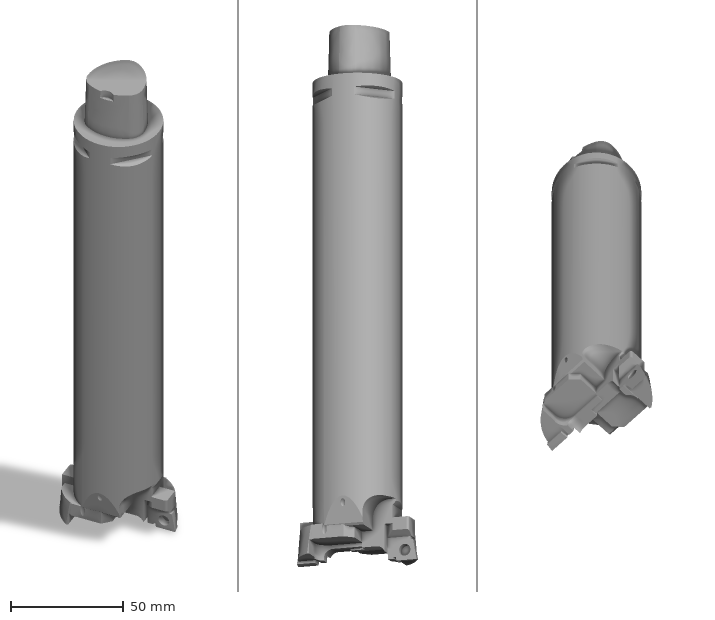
import cadquery as cq
import math


total_length = 244.0
cutting_diameter = 55.9
body_diameter = 40.0
body_radius = body_diameter / 2
tip_offset = 0.7
overshoot = 12.2

shank_length = 23.5
shank_lobe_radius = 7.8
shank_lobe_distance = 7.3
shank_lobe_half_angle = 30
shank_slope = 0.03
shank_notch_radius = 4.1
shank_notch_center_y = -15.0
shank_notch_depth = 3.7

groove_count = 4
groove_floor = 17.3
groove_bottom = 209.4
groove_floor_bottom = 210.8
groove_floor_top = 214.2
groove_top = 215.0

shoulder_z = total_length - shank_length
seat_z = 14.6
foot_z = 13.7
foot_bevel = seat_z - foot_z
slope_top_z = 26.8
slope_seat_y = 17.5
flat_x = 18.0
pocket_x = 8.8
pocket_floor_y = 4.0
pocket_round = 7.8
pocket_wall_z = 19.8

bar_end = 25.5
bar_top = 19.0
bar_bottom = 10.7
bar_back_y = 4.6
bar_corner = 1.2
plate_end = 3.5
plate_y = 17.3
plate_chamfer = 4.0
plate_outer_x = 15.5
plate_bottom = 8.0
rib_bottom = 6.3
wing_inner_x = 17.0
wing_center_x = 7.3
wing_bottom_radius = 19.8
wing_top_radius = 18.8
wing_flat_x = 26.5
wing_y = 16.5
wing_bottom = 1.7
leg_bottom = 1.0
leg_inner_x = 14.5
rib_depth = 3.0
leg_round = 6.0
arch_radius = 4.0

gullet_x = 14.2
gullet_notch_x = 18.0
gullet_notch_top = 16.3
gullet_slope_top = 13.2

insert_side = 9.5
insert_acute_angle = 80.0
insert_clearance = 7.0
insert_thickness = 3.7
insert_hole_diameter = 5.4

coolant_diameter = 2.2
coolant_length = 14.6
coolant_tilt = 27.0
body_coolant_exit_z = 24.0
slide_coolant_tilt = 21.0
slide_coolant_x = 9.5
slide_coolant_exit_z = 12.7


def block(x_range, y_range, z_range):
    """Box between the given limits."""
    size = [limits[1] - limits[0] for limits in (x_range, y_range, z_range)]
    corner = (x_range[0], y_range[0], z_range[0])
    return cq.Workplane("XY").box(*size, centered=False).translate(corner)


def half_turn(shape):
    return shape.rotate((0, 0, 0), (0, 0, 1), 180)


def shank_outline(plane, lobe_radius):
    """Three lobe arcs joined by three flatter arcs, each centred on the opposite lobe."""
    flat_reach = lobe_radius + (math.sqrt(3) - 1) * shank_lobe_distance
    lobe_reach = lobe_radius + shank_lobe_distance

    def polar(distance, angle):
        return (distance * math.cos(math.radians(angle)), distance * math.sin(math.radians(angle)))

    def lobe_point(lobe_angle, side):
        center = polar(shank_lobe_distance, lobe_angle)
        offset = polar(lobe_radius, lobe_angle + side * shank_lobe_half_angle)
        return (center[0] + offset[0], center[1] + offset[1])

    outline = plane.moveTo(*lobe_point(90, -1))
    for lobe_angle in (90, 210, 330):
        outline = outline.threePointArc(polar(lobe_reach, lobe_angle), lobe_point(lobe_angle, 1))
        outline = outline.threePointArc(polar(flat_reach, lobe_angle + 60), lobe_point(lobe_angle + 120, -1))
    return outline.close()


def make_shank():
    base = shank_outline(cq.Workplane("XY", origin=(0, 0, shoulder_z)), shank_lobe_radius)
    tip_radius = shank_lobe_radius - shank_length * shank_slope
    shank = shank_outline(base.workplane(offset=shank_length), tip_radius).loft(ruled=True)
    notch = (
        cq.Workplane("XY", origin=(0, shank_notch_center_y, total_length - shank_notch_depth))
        .circle(shank_notch_radius)
        .extrude(shank_notch_depth + overshoot)
    )
    return shank.cut(notch)


def gripper_groove(angle):
    """Flat-bottomed groove with a bevelled lower and upper edge."""
    return (
        cq.Workplane("XZ")
        .polyline([
            (groove_floor, groove_floor_bottom),
            (body_radius, groove_bottom),
            (body_radius + overshoot, groove_bottom),
            (body_radius + overshoot, groove_top),
            (body_radius, groove_top),
            (groove_floor, groove_floor_top),
        ])
        .close()
        .extrude(body_radius, both=True)
        .rotate((0, 0, 0), (0, 0, 1), angle)
    )


def side_flat():
    """Flat on the +X side, ending in a 45 degree shoulder."""
    flat_depth = body_radius - flat_x
    return (
        cq.Workplane("XZ")
        .polyline([
            (flat_x, foot_z),
            (flat_x, slope_top_z - flat_depth),
            (body_radius, slope_top_z),
            (body_radius + overshoot, slope_top_z),
            (body_radius + overshoot, foot_z),
        ])
        .close()
        .extrude(body_radius, both=True)
    )


def front_slope():
    """Sloping front face with a bevel below the seat."""
    return (
        cq.Workplane("YZ")
        .polyline([
            (-body_radius, slope_top_z),
            (-slope_seat_y, seat_z),
            (-slope_seat_y + foot_bevel, foot_z),
            (-body_radius - overshoot, foot_z),
            (-body_radius - overshoot, slope_top_z),
        ])
        .close()
        .extrude(body_radius, both=True)
    )


def relief_pocket():
    """Pocket in the front of the +X side, rounded at its upper inner corner."""
    round_middle = pocket_round * math.sqrt(0.5)
    round_center_x = pocket_x + pocket_round
    outer_x = body_radius + overshoot
    return (
        cq.Workplane("XZ", origin=(0, -pocket_floor_y, 0))
        .moveTo(pocket_x, foot_z)
        .lineTo(pocket_x, pocket_wall_z)
        .threePointArc(
            (round_center_x - round_middle, pocket_wall_z + round_middle),
            (round_center_x, pocket_wall_z + pocket_round),
        )
        .lineTo(outer_x, pocket_wall_z + pocket_round)
        .lineTo(outer_x, foot_z)
        .close()
        .extrude(body_radius)
    )


def coolant_hole(x, y, z, tilt, side):
    """Hole whose mid-length lies at a point on the front (side -1) or back (side 1) face."""
    angle = math.radians(tilt)
    direction = cq.Vector(0, side * math.sin(angle), -math.cos(angle))
    start = cq.Vector(x, y, z) - direction * (coolant_length / 2)
    return cq.Workplane(cq.Solid.makeCylinder(coolant_diameter / 2, coolant_length, start, direction))


def make_body(slide_blanks):
    body = cq.Workplane("XY").workplane(offset=foot_z).circle(body_radius).extrude(shoulder_z - foot_z)
    body = body.union(make_shank())
    for index in range(groove_count):
        body = body.cut(gripper_groove(45 + index * 360 / groove_count))

    slope = (body_radius - slope_seat_y) / (slope_top_z - seat_z)
    exit_y = slope_seat_y + slope * (body_coolant_exit_z - seat_z)
    coolant = coolant_hole(0, -exit_y, body_coolant_exit_z, coolant_tilt, -1)
    for feature in (side_flat(), front_slope(), relief_pocket(), coolant):
        body = body.cut(feature).cut(half_turn(feature))
    for slide_blank in slide_blanks:
        body = body.cut(slide_blank)
    return body


def make_insert():
    """Rhombic insert with its rake face on Y = 0 and its tip at Z = 0."""
    acute = math.radians(insert_acute_angle)
    tip_x = cutting_diameter / 2
    lean = insert_side * math.cos(acute)
    height = insert_side * math.sin(acute)
    rake_outline = cq.Wire.makePolygon(
        [
            cq.Vector(tip_x, 0, 0),
            cq.Vector(tip_x - lean, 0, height),
            cq.Vector(tip_x - lean - insert_side, 0, height),
            cq.Vector(tip_x - insert_side, 0, 0),
        ],
        close=True,
    )
    inset = insert_thickness * math.tan(math.radians(insert_clearance))
    back_outline = rake_outline.offset2D(-inset)[0].translate(cq.Vector(0, insert_thickness, 0))
    insert = cq.Workplane(cq.Solid.makeLoft([rake_outline, back_outline], True))
    hole = (
        cq.Workplane("XZ")
        .center(tip_x - (lean + insert_side) / 2, height / 2)
        .circle(insert_hole_diameter / 2)
        .extrude(-insert_thickness)
    )
    return insert, insert.cut(hole)


def slide_wing():
    """Flared wing behind the insert, with a flat that leans like the side of the insert."""
    cone = cq.Workplane(cq.Solid.makeCone(
        wing_bottom_radius, wing_top_radius, seat_z - wing_bottom,
        cq.Vector(wing_center_x, 0, wing_bottom), cq.Vector(0, 0, 1),
    ))
    outer_x = wing_center_x + wing_bottom_radius
    limits = block((wing_inner_x, outer_x), (0, wing_y), (wing_bottom, seat_z))
    limits = limits.union(block((plate_outer_x, wing_inner_x), (0, wing_y), (plate_bottom, seat_z)))
    lean = (seat_z - wing_bottom) / math.tan(math.radians(insert_acute_angle))
    flat = (
        cq.Workplane("XZ")
        .polyline([
            (wing_flat_x, wing_bottom),
            (wing_flat_x - lean, seat_z),
            (outer_x, seat_z),
            (outer_x, wing_bottom),
        ])
        .close()
        .extrude(-wing_y)
    )
    return cone.intersect(limits).cut(flat)


def slide_leg():
    """Leg inside the wing, joined to the rib by an arch and to the wing by a concave round."""
    arch_x = leg_inner_x - arch_radius
    arch_z = rib_bottom - arch_radius
    arch_middle = arch_radius * math.sqrt(0.5)
    leg_back_y = rib_depth + leg_round
    leg = (
        cq.Workplane("XZ", origin=(0, leg_back_y, 0))
        .moveTo(arch_x, rib_bottom)
        .threePointArc((arch_x + arch_middle, arch_z + arch_middle), (leg_inner_x, arch_z))
        .lineTo(leg_inner_x, leg_bottom)
        .lineTo(wing_inner_x, leg_bottom)
        .lineTo(wing_inner_x, plate_bottom)
        .lineTo(arch_x, plate_bottom)
        .close()
        .extrude(leg_back_y + pocket_floor_y)
    )
    round_center_x = wing_inner_x - leg_round
    hollow = (
        cq.Workplane("XY", origin=(round_center_x, leg_back_y, leg_bottom))
        .circle(leg_round)
        .extrude(plate_bottom - leg_bottom)
    )
    corner = block((arch_x, round_center_x), (rib_depth, leg_back_y), (leg_bottom, plate_bottom))
    return leg.cut(hollow).cut(corner)


def chip_gullet():
    """Space in front of the insert, closed above by a sloping face and at the side by a notch."""
    outer_x = bar_end + overshoot
    main = (
        cq.Workplane("YZ", origin=(gullet_x, 0, 0))
        .polyline([
            (0, -overshoot),
            (0, bar_bottom),
            (-pocket_floor_y, gullet_slope_top),
            (-pocket_floor_y - overshoot, gullet_slope_top),
            (-pocket_floor_y - overshoot, -overshoot),
        ])
        .close()
        .extrude(outer_x - gullet_x)
    )
    notch = (
        cq.Workplane("XY", origin=(0, 0, bar_bottom))
        .polyline([
            (gullet_x, -pocket_floor_y),
            (gullet_notch_x, -pocket_floor_y),
            (gullet_x, 0),
        ])
        .close()
        .extrude(gullet_notch_top - bar_bottom)
    )
    return main.union(notch)


def make_slide(insert_blank):
    """The slide without its hollows, which is the room it takes in the body, and the finished slide."""
    plate = block((-plate_end, plate_outer_x), (0, plate_y), (plate_bottom, seat_z))
    plate = plate.edges("|Z and <X and >Y").chamfer(plate_chamfer)
    rib = block((-plate_end, wing_inner_x), (0, rib_depth), (rib_bottom, foot_z))
    face_plate = block((plate_end, wing_inner_x), (-pocket_floor_y, 0), (rib_bottom, foot_z))
    bar = block((pocket_x, bar_end), (-pocket_floor_y, bar_back_y), (bar_bottom, bar_top))
    bar = bar.edges("|Z and >X and <Y").fillet(bar_corner)

    blank = plate.union(rib).union(face_plate).union(bar).union(slide_wing()).union(slide_leg())
    coolant = coolant_hole(slide_coolant_x, plate_y, slide_coolant_exit_z, slide_coolant_tilt, 1)
    return blank, blank.cut(chip_gullet()).cut(insert_blank).cut(coolant)


def placed_pair(shape):
    """Two copies half a turn apart, the +X one slightly higher."""
    return [shape.translate((0, 0, tip_offset)), half_turn(shape)]


insert_blank, insert = make_insert()
slide_blank, slide = make_slide(insert_blank)

body = make_body(placed_pair(slide_blank))
slides = placed_pair(slide)
inserts = placed_pair(insert)

result = cq.Compound.makeCompound([
    body.val(),
    *[one_slide.val() for one_slide in slides],
    *[one_insert.val() for one_insert in inserts],
])